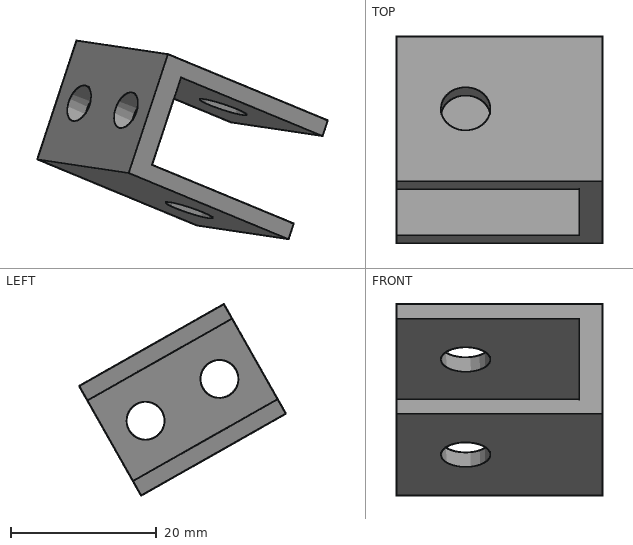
import cadquery as cq

length = 28.31
width = 22.83
height = 17.3
flange_thickness = 2.3
web_thickness = 3.25
tilt_angle = 29.5

flange_hole_diameter = 6.8
flange_hole_from_open_end = 9.5
web_hole_diameter = 5.17
web_hole_spacing = 11.65


def clevis_body():
    """U-shaped body centred on the origin, open toward -X."""
    block = cq.Workplane("XY").box(length, width, height)
    gap_length = length - web_thickness
    gap_height = height - 2 * flange_thickness
    gap = (
        cq.Workplane("XY")
        .box(gap_length, width, gap_height)
        .translate((-web_thickness / 2, 0, 0))
    )
    return block.cut(gap)


def flange_hole():
    """Pin hole running through both flanges."""
    return (
        cq.Workplane("XY")
        .center(flange_hole_from_open_end - length / 2, 0)
        .circle(flange_hole_diameter / 2)
        .extrude(height, both=True)
    )


def web_holes():
    """Pair of mounting holes through the web, side by side across the width."""
    return (
        cq.Workplane("YZ")
        .pushPoints([(-web_hole_spacing / 2, 0), (web_hole_spacing / 2, 0)])
        .circle(web_hole_diameter / 2)
        .extrude(length)
    )


clevis = clevis_body().cut(flange_hole()).cut(web_holes())
result = clevis.rotate((0, 0, 0), (1, 0, 0), -tilt_angle)